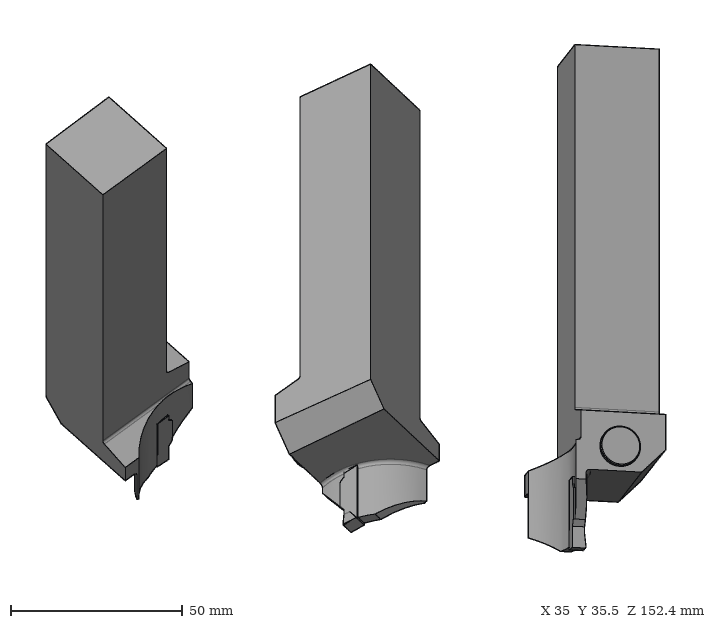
import cadquery as cq
import math

total_height = 152.4
head_width = 35.0
head_depth = 34.0
shank_right = 25.3
shank_depth = 25.1
side_taper = 0.5

head_bottom = 21.5
side_step_top = 30.6
back_step_top = 41.8
ledge_slope = math.radians(15)
ledge_fillet = 0.9
corner_chamfer = 7.2

arc_center_y = 25.9
blade_left = 22.4
blade_right = 25.6
convex_radius = 24.4
concave_radius = 27.1
blade_front = 4.4
blade_front_z = 8.2
blade_bottom = 1.2
blade_bottom_front = 15.7
blade_back_z = 18.5
blade_root_fillet = 1.0

insert_seat = 20.5
rake_face = 25.3
insert_crest = 26.7
crest_bottom = 8.2
crest_top = 17.8
crest_end_run = 1.4
rake_top = 6.4
tip_heel_z = 0.5
insert_right = 26.0
tip_overhang = 0.5
tip_corner = 0.3
tip_height = 4.4
tip_shoulder_y = 23.2
tip_relief_end_y = 21.2
tip_relief_end_z = 1.5

screw_diameter = 11.9
screw_x = 13.7
screw_z = 28.8
screw_height = 1.5
screw_edge_chamfer = 0.3


def extrude_along_x(points, x_start, x_end):
    """Prism with a (Y, Z) outline between two X positions."""
    return cq.Workplane("YZ", origin=(x_start, 0, 0)).polyline(points).close().extrude(x_end - x_start)


def vertical_cylinder(left_x, radius):
    """Full-height cylinder whose leftmost line lies at left_x."""
    return cq.Workplane("XY").center(left_x + radius, arc_center_y).circle(radius).extrude(total_height)


def make_shank_and_head():
    side_drop = (head_width - shank_right) * math.tan(ledge_slope)
    back_drop = (head_depth - shank_depth) * math.tan(ledge_slope)
    front_outline = [
        (0, total_height),
        (shank_right, total_height),
        (shank_right, side_step_top),
        (head_width, side_step_top - side_drop),
        (head_width, head_bottom),
        (corner_chamfer, head_bottom),
        (0, head_bottom + corner_chamfer),
    ]
    side_outline = [
        (0, head_bottom),
        (head_depth, head_bottom),
        (head_depth, back_step_top - back_drop),
        (shank_depth, back_step_top),
        (shank_depth, total_height),
        (0, total_height),
    ]
    body = cq.Workplane("XZ").polyline(front_outline).close().extrude(-head_depth)
    side_corner = cq.selectors.NearestToPointSelector((shank_right, head_depth / 2, side_step_top))
    body = body.edges(side_corner).fillet(ledge_fillet)

    side_prism = extrude_along_x(side_outline, 0, head_width)
    back_corner = cq.selectors.NearestToPointSelector((head_width / 2, shank_depth, back_step_top))
    body = body.intersect(side_prism.edges(back_corner).fillet(ledge_fillet))

    taper_outline = [(0, 0), (side_taper, 0), (0, head_depth)]
    taper = cq.Workplane("XY").polyline(taper_outline).close().extrude(total_height)
    return body.cut(taper).cut(vertical_cylinder(blade_right, concave_radius))


def make_blade():
    outline = [
        (blade_front, head_bottom),
        (blade_front, blade_front_z),
        (blade_bottom_front, blade_bottom),
        (insert_seat, blade_bottom),
        (insert_seat, rake_top),
        (rake_face, rake_top),
        (insert_crest, crest_bottom),
        (head_depth, blade_back_z),
        (head_depth, head_bottom),
    ]
    blade = extrude_along_x(outline, 0, head_width)
    blade = blade.intersect(vertical_cylinder(blade_left, convex_radius))
    return blade.cut(vertical_cylinder(blade_right, concave_radius))


def make_screw_head():
    plane = cq.Workplane("XZ", origin=(screw_x, head_depth, screw_z))
    head = plane.circle(screw_diameter / 2).extrude(-screw_height)
    return head.faces(">Y").chamfer(screw_edge_chamfer)


def make_insert():
    bar_outline = [
        (insert_seat, head_bottom),
        (insert_seat, tip_heel_z),
        (rake_face, 0),
        (rake_face, rake_top),
        (insert_crest, crest_bottom),
        (insert_crest, crest_top),
        (rake_face, crest_top + crest_end_run),
        (rake_face, head_bottom),
    ]
    tip_outline = [
        (rake_face, 0),
        (rake_face, tip_height),
        (tip_shoulder_y, tip_height),
        (tip_relief_end_y, tip_relief_end_z),
        (insert_seat, tip_heel_z),
    ]
    tip_left = blade_left - tip_overhang
    tip_front_outline = [
        (insert_right, 0),
        (insert_right, tip_height),
        (blade_left, tip_height),
        (tip_left, tip_corner),
        (tip_left + tip_corner, 0),
    ]
    bar = extrude_along_x(bar_outline, blade_left, insert_right)
    tip = extrude_along_x(tip_outline, tip_left, insert_right)
    flared_prism = cq.Workplane("XZ").polyline(tip_front_outline).close().extrude(-head_depth)
    return bar.union(tip.intersect(flared_prism))


def make_holder(insert):
    holder = make_shank_and_head().union(make_blade())
    root_y = (blade_front + insert_seat) / 2
    root_run = math.sqrt(convex_radius**2 - (arc_center_y - root_y)**2)
    root_point = (blade_left + convex_radius - root_run, root_y, head_bottom)
    root_edge = cq.selectors.NearestToPointSelector(root_point)
    holder = holder.edges("%CIRCLE").edges(root_edge).fillet(blade_root_fillet)
    return holder.union(make_screw_head()).cut(insert)


insert = make_insert()
holder = make_holder(insert)
result = cq.Compound.makeCompound([holder.val(), insert.val()])